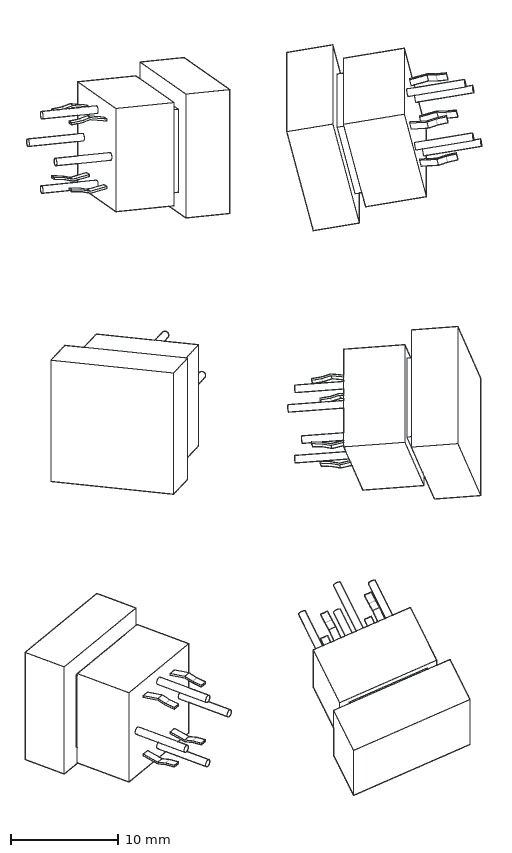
import cadquery as cq

overall_length = 16.5
cap_side = 12.0
cap_depth = 4.4
neck_side = 8.05
neck_depth = 0.8
body_side = 10.0
body_depth = 5.8

pin_diameter = 0.73
pin_offset = 3.6
pin_length = overall_length - cap_depth - neck_depth - body_depth

tab_width = 0.73
tab_spacing = 4.5
tab_thickness = 0.2
tab_root_height = 3.37
tab_crest_height = 3.66
tab_crest_reach = 1.65
tab_knee_height = 3.43
tab_knee_reach = 2.5
tab_tip_height = 3.33
tab_tip_reach = 3.5

body_face = pin_length
neck_start = body_face + body_depth
cap_start = neck_start + neck_depth


def square_block(side, start, depth):
    """Square block running from start towards +Y."""
    return cq.Workplane("XY").box(side, depth, side).translate((0, start + depth / 2, 0))


def round_pin(x, z):
    """Pin from the body face to the -Y end of the part."""
    return cq.Workplane("XZ", origin=(x, body_face, z)).circle(pin_diameter / 2).extrude(pin_length)


def bent_tab(x):
    """Upper terminal: rises to a crest, drops to a knee, then runs out to the tip."""
    top_edge = [
        (body_face, tab_root_height),
        (body_face - tab_crest_reach, tab_crest_height),
        (body_face - tab_knee_reach, tab_knee_height),
        (body_face - tab_tip_reach, tab_tip_height),
    ]
    bottom_edge = [(y, z - tab_thickness) for y, z in reversed(top_edge)]
    return (
        cq.Workplane("YZ", origin=(x, 0, 0))
        .polyline(top_edge + bottom_edge)
        .close()
        .extrude(tab_width / 2, both=True)
    )


result = square_block(body_side, body_face, body_depth)
result = result.union(square_block(neck_side, neck_start, neck_depth))
result = result.union(square_block(cap_side, cap_start, cap_depth))

for side in (-1, 1):
    result = result.union(round_pin(side * pin_offset, 0))
    result = result.union(round_pin(0, side * pin_offset))
    upper_tab = bent_tab(side * tab_spacing / 2)
    result = result.union(upper_tab).union(upper_tab.mirror("XY"))